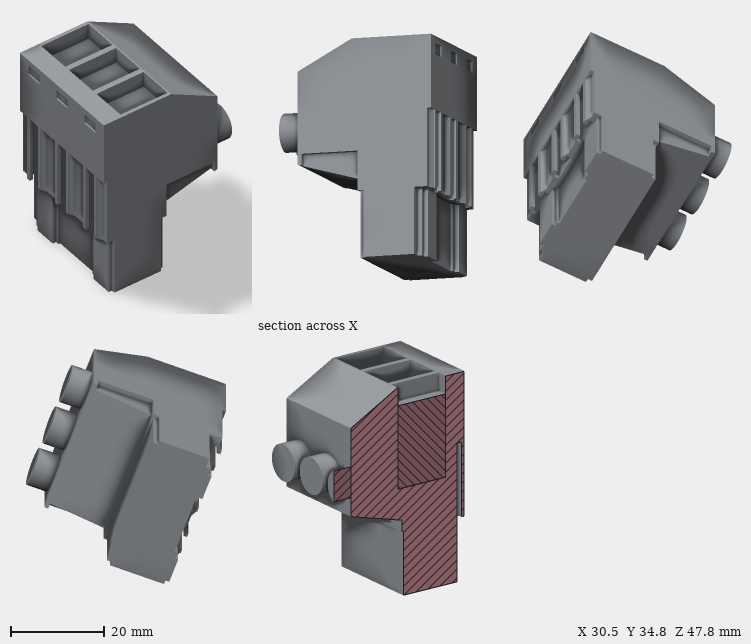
import cadquery as cq


width = 30.5
depth = 34.8
height = 47.8
poles = 3
pitch = width / poles
left = -width / 2
pole_offsets = [i - (poles - 1) / 2 for i in range(poles)]
pole_centres = [offset * pitch for offset in pole_offsets]

body_rear = 30.25
crest_y = 17.95
rear_top_z = 41.25
rear_bottom_z = 21.05
stem_rear = 16.65
stem_slope_z = 17.25
stem_bottom_z = 14.65
wall = 0.85

recess_top_z = 23.3
recess_depth = 1.3

well_width = 8.7
well_partition = 1.35
well_front = 5.05
well_rear = 17.65
well_depth = 4.05
well_centres = [offset * (well_width + well_partition) for offset in pole_offsets]

window_width = 4.0
window_height = 2.45
window_top_gap = 1.55
window_depth = 0.4

grip_top_z = 31.75
grip_recess = 0.85
groove_depth = 1.95
undercut_half = 2.85
rib_inner = 1.5
rib_outer = 2.5
flank_outer = 3.75
flank_y = 0.2

tongue_front = 3.3
corner_front = 3.82
tongue_rear = 15.25
key_base_front = 2.8
key_front = groove_depth
key_pitch = 2 * pitch
corner_width = 2.2
key_base_start = left + corner_width
key_step = 1.6
key_start = key_base_start + key_step
key_width = 5.5
key_base_width = 7.95
rear_key_rear = 16.25

screw_diameter = 8.4
screw_z = 28.9
screw_end = depth
clamp_bottom_z = screw_z - screw_diameter / 2


def block(x0, x1, y0, y1, z0, z1):
    """Box between two opposite corners."""
    return cq.Workplane("XY").box(x1 - x0, y1 - y0, z1 - z0, centered=False).translate((x0, y0, z0))


def make_shell():
    """Side outline of the housing, extruded across its width."""
    outline = [
        (0, stem_bottom_z),
        (0, height),
        (crest_y, height),
        (body_rear, rear_top_z),
        (body_rear, rear_bottom_z),
        (stem_rear, stem_slope_z),
        (stem_rear, stem_bottom_z),
    ]
    return cq.Workplane("YZ").polyline(outline).close().extrude(width).translate((left, 0, 0))


def cut_side_recesses(body):
    """Set the underside of the overhang in from both sides, leaving the rear wall full width."""
    for x0 in (left, -left - recess_depth):
        body = body.cut(block(x0, x0 + recess_depth, stem_rear, body_rear - wall, stem_bottom_z, recess_top_z))
    return body


def make_grip_rib(pole_x, side):
    """Upright rib beside a pole's groove, with a sloping outer flank."""
    profile = [
        (rib_inner, grip_recess),
        (rib_inner, 0),
        (rib_outer, 0),
        (rib_outer, flank_y),
        (flank_outer, grip_recess),
    ]
    points = [(pole_x + side * x, y) for x, y in profile]
    rib = cq.Workplane("XY").polyline(points).close().extrude(grip_top_z - stem_bottom_z)
    return rib.translate((0, 0, stem_bottom_z))


def add_grip(body):
    """Recess the lower front face, then give each pole a groove whose back is wider than its mouth.

    Two ribs narrow the mouth of the groove and overhang its wider back.
    """
    body = body.cut(block(left, -left, 0, grip_recess, stem_bottom_z, grip_top_z))
    for x in pole_centres:
        body = body.cut(block(x - undercut_half, x + undercut_half, 0, groove_depth, stem_bottom_z, grip_top_z))
        for side in (-1, 1):
            body = body.union(make_grip_rib(x, side))
    return body


def add_tongue(body):
    """Plug tongue with a notched front corner, two stepped keys in front and one wide key behind."""
    body = body.union(block(left, -left, tongue_front, tongue_rear, 0, stem_bottom_z))
    body = body.cut(block(left, left + corner_width, tongue_front, corner_front, 0, stem_bottom_z))
    body = body.union(block(left + wall, -left - wall, tongue_rear, rear_key_rear, 0, stem_bottom_z))
    for shift in (0, key_pitch):
        base_x = key_base_start + shift
        key_x = key_start + shift
        body = body.union(block(base_x, base_x + key_base_width, key_base_front, tongue_front, 0, stem_bottom_z))
        body = body.union(block(key_x, key_x + key_width, key_front, tongue_front, 0, stem_bottom_z))
    return body


def well_block(x, z0, z1):
    """Block with the plan of the wire well centred at x."""
    return block(x - well_width / 2, x + well_width / 2, well_front, well_rear, z0, z1)


def cut_wells(body):
    """Wire wells, deep enough to hold the clamps."""
    for x in well_centres:
        body = body.cut(well_block(x, clamp_bottom_z, height))
    return body


def cut_windows(body):
    """Shallow rectangular windows near the top of the front face."""
    top = height - window_top_gap
    half = window_width / 2
    for x in pole_centres:
        body = body.cut(block(x - half, x + half, 0, window_depth, top - window_height, top))
    return body


def make_housing():
    body = cut_side_recesses(make_shell())
    body = add_tongue(add_grip(body))
    return cut_windows(cut_wells(body))


def make_clamp(x):
    """Wire clamp filling the lower part of a well."""
    return well_block(x, clamp_bottom_z, height - well_depth)


def make_screw(x):
    """Round screw collar standing on the rear face."""
    rear_face = cq.Workplane(cq.Plane((x, body_rear, screw_z), xDir=(-1, 0, 0), normal=(0, 1, 0)))
    return rear_face.circle(screw_diameter / 2).extrude(screw_end - body_rear)


housing = make_housing()
clamps = [make_clamp(x) for x in well_centres]
screws = [make_screw(x) for x in pole_centres]

result = cq.Compound.makeCompound(
    [housing.val()] + [clamp.val() for clamp in clamps] + [screw.val() for screw in screws]
)